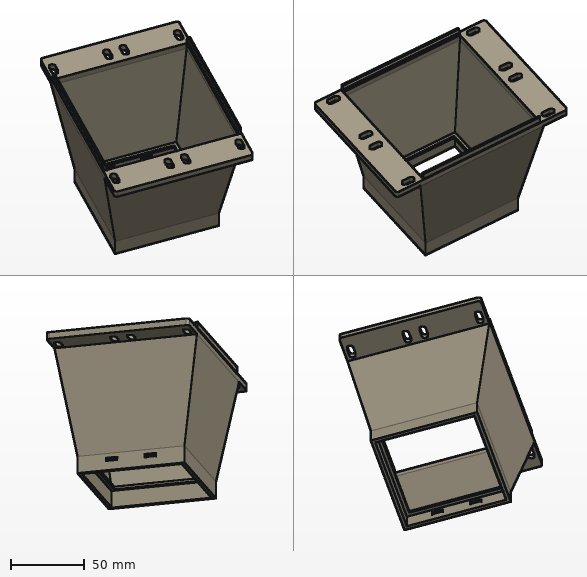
import cadquery as cq

plate_length = 139.8
plate_width = 101.0
plate_thickness = 4.9
corner_radius = 2.0

funnel_height = 75.0
collar_height = 12.0
collar_size = 75.8
inlet_opening = 95.3
collar_opening = 70.7
outlet_opening = 65.5
ledge_thickness = 2.0

ledge_top = collar_height + ledge_thickness
plate_bottom = collar_height + funnel_height
plate_top = plate_bottom + plate_thickness

rail_height = 5.0
rail_inset = 0.4
rail_tip_thickness = 1.3
rail_bevel_start = 2.8
rail_undercut = 0.7

slot_length = 9.5
slot_width = 4.5
slot_x = 57.2
outer_slot_y = 45.6
inner_slot_y = 6.0

window_length = 7.8
window_height = 2.2
window_spacing = 27.4
window_center_height = 7.8


def square_prism(size, bottom, height):
    """Square block centred on the Z axis."""
    return cq.Workplane("XY").workplane(offset=bottom).rect(size, size).extrude(height)


def square_taper(bottom_size, top_size, bottom):
    """Square frustum from the given height up to the underside of the plate."""
    return (
        cq.Workplane("XY")
        .workplane(offset=bottom)
        .rect(bottom_size, bottom_size)
        .workplane(offset=plate_bottom - bottom)
        .rect(top_size, top_size)
        .loft(ruled=True)
    )


def mounting_plate():
    plate = (
        cq.Workplane("XY")
        .workplane(offset=plate_bottom)
        .rect(plate_length, plate_width)
        .extrude(plate_thickness)
        .edges("|Z")
        .fillet(corner_radius)
    )
    slot_centers = [
        (x, y)
        for x in (-slot_x, slot_x)
        for y in (-outer_slot_y, -inner_slot_y, inner_slot_y, outer_slot_y)
    ]
    slots = (
        cq.Workplane("XY")
        .workplane(offset=plate_bottom)
        .pushPoints(slot_centers)
        .slot2D(slot_length, slot_width)
        .extrude(plate_thickness)
    )
    return plate.cut(slots)


def duct_cavity():
    """Inside of the duct, leaving a ledge between the funnel and the collar socket."""
    inlet = square_prism(inlet_opening, plate_bottom, plate_thickness)
    taper = square_taper(collar_opening, inlet_opening, ledge_top)
    outlet = square_prism(outlet_opening, 0, ledge_top)
    socket = square_prism(collar_opening, 0, collar_height)
    return inlet.union(taper).union(outlet).union(socket)


def inlet_rail():
    """Rail on the +Y side, bevelled towards the inlet and undercut along its foot."""
    outer_y = plate_width / 2 - rail_inset
    inner_y = inlet_opening / 2
    profile = [
        (outer_y, plate_top),
        (outer_y, plate_top + rail_height),
        (outer_y - rail_tip_thickness, plate_top + rail_height),
        (inner_y, plate_top + rail_bevel_start),
        (inner_y, plate_top + rail_undercut),
        (inner_y + rail_undercut, plate_top),
    ]
    return cq.Workplane("YZ").polyline(profile).close().extrude(inlet_opening / 2, both=True)


def latch_windows():
    wall_thickness = (collar_size - collar_opening) / 2
    wall_center_x = -(collar_size - wall_thickness) / 2
    return (
        cq.Workplane("XY")
        .workplane(offset=window_center_height)
        .pushPoints([(wall_center_x, -window_spacing / 2), (wall_center_x, window_spacing / 2)])
        .box(wall_thickness, window_length, window_height)
    )


collar = square_prism(collar_size, 0, collar_height)
funnel = square_taper(collar_size, plate_width, collar_height)
body = collar.union(funnel).union(mounting_plate()).cut(duct_cavity())

rail = inlet_rail()
result = body.union(rail).union(rail.mirror("XZ")).cut(latch_windows())